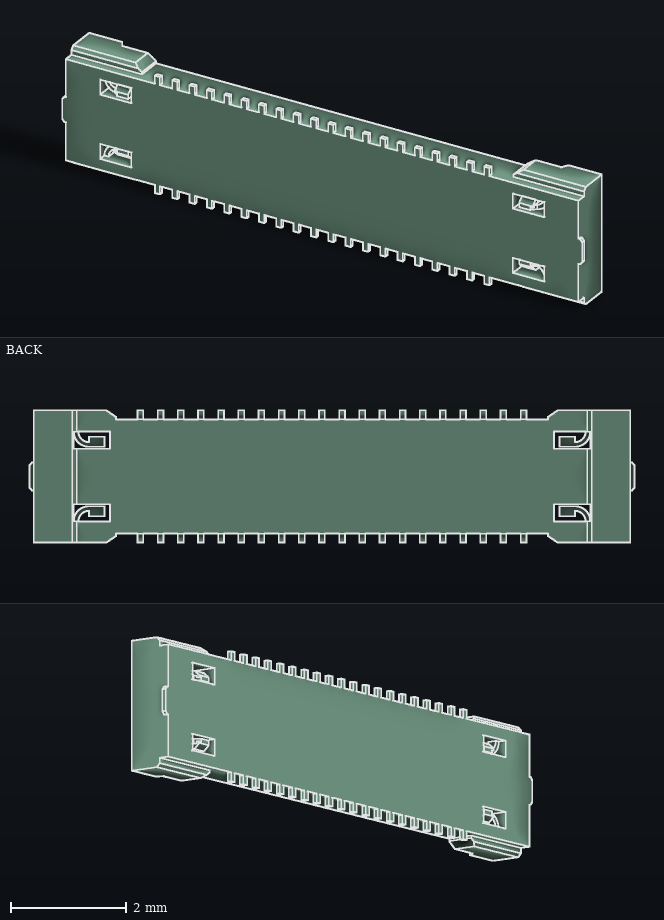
import cadquery as cq

total_length = 10.5
total_thickness = 0.8
total_height = 2.3
half_height = total_height / 2

plate_length = 10.35
plate_height = 1.98
plate_thickness = 0.67
plate_end = plate_length / 2
plate_top = plate_height / 2

ear_length = 1.26
ear_root_length = 1.43
ear_foot = 0.04
ear_front = 0.19
ear_chamfer = 0.06

pad_length = 0.67
pad_root_length = 0.75

pin_count = 20
pin_pitch = 1.05 / 3
pin_width = 0.1
pin_thickness = 0.07

tab_height = 0.49
tab_thickness = 0.07
tab_chamfer_height = 0.05
tab_chamfer_length = 0.04

window_outer = 4.48
window_inner = 3.85
window_bottom = 0.48
window_top = 0.78

spring_back = 0.32
arm_front = 0.15
arm_width = 0.08
arm_outer_radius = 0.26
arm_inner_radius = arm_outer_radius - arm_width
arm_center_x = arm_outer_radius - window_outer
arm_bottom = window_top - arm_outer_radius
arm_inner_edge = arm_bottom + arm_width
tongue_front = 0.05
tongue_bend_start = -4.25
tongue_bend_end = -4.17
tongue_tip = -3.95
blade_rise = 0.09
blade_depth = 0.1

overlap = 0.03


def box(x_min, x_max, y_min, y_max, z_min, z_max):
    size = (x_max - x_min, y_max - y_min, z_max - z_min)
    return cq.Workplane("XY").box(*size, centered=False).translate((x_min, y_min, z_min))


def mirror_x(shape):
    return shape.union(shape.mirror("YZ"))


def mirror_z(shape):
    return shape.union(shape.mirror("XY"))


def make_ear():
    """Upper left ear: slanted inner end, chamfered front edge."""
    ear = (
        cq.Workplane("XZ", origin=(0, ear_front, 0))
        .moveTo(-plate_end, 0)
        .lineTo(-plate_end, half_height)
        .lineTo(-plate_end + ear_length, half_height)
        .lineTo(-plate_end + ear_root_length, plate_top + ear_foot)
        .lineTo(-plate_end + ear_root_length, 0)
        .close()
        .extrude(-(plate_thickness - ear_front))
    )
    front_chamfer = (
        cq.Workplane("YZ", origin=(-plate_end, 0, 0))
        .moveTo(ear_front, half_height - ear_chamfer)
        .lineTo(ear_front, half_height)
        .lineTo(ear_front + ear_chamfer, half_height)
        .close()
        .extrude(ear_root_length)
    )
    return ear.cut(front_chamfer)


def make_pad():
    """Left rear pad, full height, sloping down to the plate."""
    return (
        cq.Workplane("XY", origin=(0, 0, -half_height))
        .moveTo(-plate_end, ear_front + ear_chamfer)
        .lineTo(-plate_end, total_thickness)
        .lineTo(-plate_end + pad_length, total_thickness)
        .lineTo(-plate_end + pad_root_length, plate_thickness)
        .lineTo(-plate_end + pad_root_length, ear_front + ear_chamfer)
        .close()
        .extrude(total_height)
    )


def make_tab():
    """Left end tab with its two outer corners bevelled."""
    tip = -total_length / 2
    half_tab = tab_height / 2
    return (
        cq.Workplane("XZ")
        .moveTo(-plate_end + overlap, -half_tab)
        .lineTo(tip + tab_chamfer_length, -half_tab)
        .lineTo(tip, -half_tab + tab_chamfer_height)
        .lineTo(tip, half_tab - tab_chamfer_height)
        .lineTo(tip + tab_chamfer_length, half_tab)
        .lineTo(-plate_end + overlap, half_tab)
        .close()
        .extrude(-tab_thickness)
    )


def make_pin(x):
    """One terminal reaching past both long edges of the plate."""
    half_width = pin_width / 2
    return box(x - half_width, x + half_width, 0, pin_thickness, -half_height, half_height)


def make_window():
    """Upper left window, open through the whole thickness."""
    return box(-window_outer, -window_inner, 0, total_thickness, window_bottom, window_top)


def make_spring():
    """Upper left spring contact, hanging from the top of its window."""
    arm = (
        cq.Workplane("XZ", origin=(0, arm_front, 0))
        .moveTo(-window_outer, window_top + overlap)
        .lineTo(-window_outer, window_top)
        .radiusArc((arm_center_x, arm_bottom), -arm_outer_radius)
        .lineTo(tongue_bend_end, arm_bottom)
        .lineTo(tongue_bend_end, arm_inner_edge)
        .lineTo(arm_center_x, arm_inner_edge)
        .radiusArc((-window_outer + arm_width, window_top), arm_inner_radius)
        .lineTo(-window_outer + arm_width, window_top + overlap)
        .close()
        .extrude(-(spring_back - arm_front))
    )
    tongue = (
        cq.Workplane("XY", origin=(0, 0, arm_bottom))
        .moveTo(tongue_bend_start, spring_back)
        .lineTo(tongue_bend_start, arm_front)
        .lineTo(tongue_bend_end, tongue_front)
        .lineTo(tongue_tip, tongue_front)
        .lineTo(tongue_tip, spring_back)
        .close()
        .extrude(arm_width)
    )
    blade = (
        cq.Workplane("YZ", origin=(arm_center_x, 0, 0))
        .moveTo(tongue_front, arm_inner_edge - overlap)
        .lineTo(tongue_front, arm_inner_edge)
        .lineTo(tongue_front + blade_depth, arm_inner_edge + blade_rise)
        .lineTo(spring_back, arm_inner_edge + blade_rise)
        .lineTo(spring_back, arm_inner_edge - overlap)
        .close()
        .extrude(tongue_tip - arm_center_x)
    )
    return arm.union(tongue).union(blade)


body = box(-plate_end, plate_end, 0, plate_thickness, -plate_top, plate_top)
body = body.union(mirror_x(mirror_z(make_ear())))
body = body.union(mirror_x(make_pad()))
body = body.union(mirror_x(make_tab()))
for index in range(pin_count):
    body = body.union(make_pin((index - (pin_count - 1) / 2) * pin_pitch))
body = body.cut(mirror_x(mirror_z(make_window())))
result = body.union(mirror_x(mirror_z(make_spring())))